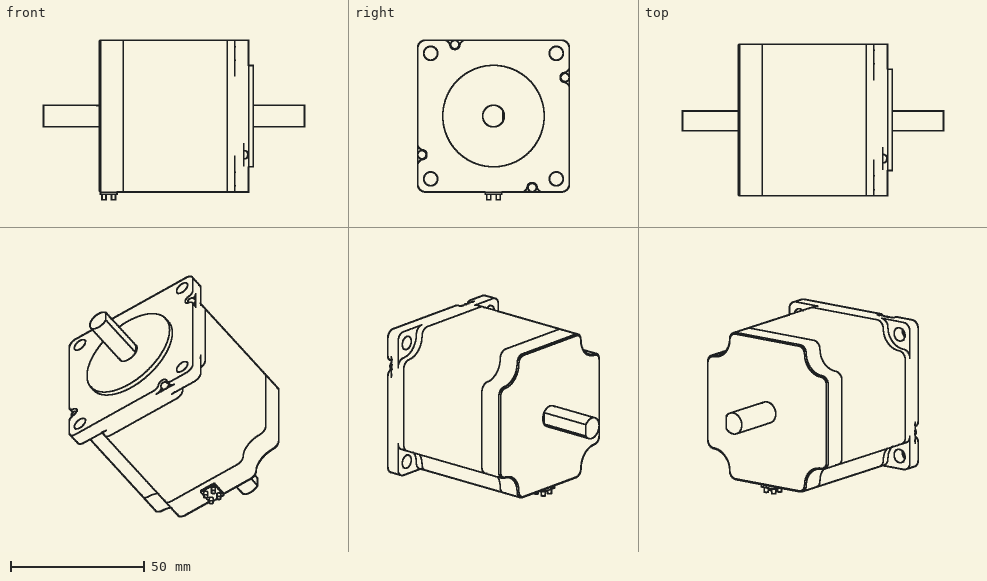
import cadquery as cq
import math

overall_length = 98.0
frame_size = 57.0
body_length = 56.1
half_frame = frame_size / 2
shaft_overhang = (overall_length - body_length) / 2

rear_cap_length = 8.9
front_cap_length = 8.0
stator_length = body_length - rear_cap_length - front_cap_length
rear_face = -body_length
stator_rear = rear_face + rear_cap_length
stator_front = -front_cap_length

flange_thickness = 5.2
corner_radius = 3.0
relief_radius = 7.35
corner_center = half_frame - corner_radius
relief_edge = corner_center - relief_radius
side_edge = relief_edge - corner_radius
rear_chamfer = 0.5

pilot_diameter = 38.1
pilot_height = 1.8
mount_spacing = 47.1
mount_hole_diameter = 5.1

pocket_depth = 1.9
pocket_radius = 1.9
pocket_mouth_radius = 2.3
pocket_offset = 14.5
pocket_inset = 1.7
head_diameter = 3.1
head_height = 1.5
head_rounding = 1.2

shaft_diameter = 8.1
shaft_flat_depth = 0.7

plug_size = 6.3
plug_thickness = 0.9
plug_rear_gap = 0.4
pin_diameter = 1.6
pin_spacing = 3.5
pin_length = 2.1

quarter_turns = [0, 90, 180, 270]
half_root = math.sqrt(0.5)
clearance = 1.0


def turned(shape, angle):
    """Copy of a shape turned about the motor axis."""
    return shape.rotate((0, 0, 0), (1, 0, 0), angle)


def cylinder(x, diameter, length):
    """Cylinder on the motor axis, running from x towards +X."""
    return cq.Workplane("YZ", origin=(x, 0, 0)).circle(diameter / 2).extrude(length)


def frame(x, length):
    """Square block with rounded corners, running from x towards +X."""
    block = cq.Workplane("YZ", origin=(x, 0, 0)).rect(frame_size, frame_size).extrude(length)
    return block.edges("|X").fillet(corner_radius)


def corner_relief(x, length):
    """Cutter for the hollow at the +Y +Z corner, blended into both sides by convex arcs."""
    outside = half_frame + clearance
    relief_middle = corner_center - relief_radius * half_root
    blend_near = half_frame - corner_radius * (1 - half_root)
    blend_far = relief_edge - corner_radius * (1 - half_root)
    return (
        cq.Workplane("YZ", origin=(x, 0, 0))
        .moveTo(outside, side_edge)
        .lineTo(half_frame, side_edge)
        .threePointArc((blend_near, blend_far), (corner_center, relief_edge))
        .threePointArc((relief_middle, relief_middle), (relief_edge, corner_center))
        .threePointArc((blend_far, blend_near), (side_edge, half_frame))
        .lineTo(side_edge, outside)
        .lineTo(outside, outside)
        .close()
        .extrude(length)
    )


def relieved_frame(x, length, relief_length):
    """Frame block whose four corners are hollowed over relief_length from its rear end."""
    block = frame(x, length)
    relief = corner_relief(x, relief_length)
    for angle in quarter_turns:
        block = block.cut(turned(relief, angle))
    return block


def connector():
    """Square plug with four round pins, pointing down from the rear cap."""
    plug_x = rear_face + plug_rear_gap + plug_size / 2
    base = cq.Workplane("XY", origin=(plug_x, 0, -half_frame))
    plug = base.rect(plug_size, plug_size).extrude(-plug_thickness)
    pins = (
        base.workplane(offset=-plug_thickness)
        .rect(pin_spacing, pin_spacing, forConstruction=True)
        .vertices()
        .circle(pin_diameter / 2)
        .extrude(-pin_length)
    )
    return plug.union(pins)


def screw_pocket():
    """Cutter for the pocket at the +Z side: a round end with a mouth that flares out to the side."""
    center_z = half_frame - pocket_inset
    mouth_z = half_frame - pocket_mouth_radius
    reach = pocket_radius + pocket_mouth_radius
    mouth_half_width = math.sqrt(reach**2 - (mouth_z - center_z) ** 2)
    tangent_y = mouth_half_width * pocket_radius / reach
    tangent_z = center_z + (mouth_z - center_z) * pocket_radius / reach
    flare_y = mouth_half_width - pocket_mouth_radius * half_root
    flare_z = mouth_z + pocket_mouth_radius * half_root
    return (
        cq.Workplane("YZ", origin=(0, -pocket_offset, 0))
        .moveTo(-mouth_half_width, half_frame + clearance)
        .lineTo(-mouth_half_width, half_frame)
        .threePointArc((-flare_y, flare_z), (-tangent_y, tangent_z))
        .threePointArc((0, center_z - pocket_radius), (tangent_y, tangent_z))
        .threePointArc((flare_y, flare_z), (mouth_half_width, half_frame))
        .lineTo(mouth_half_width, half_frame + clearance)
        .close()
        .extrude(-pocket_depth)
    )


def screw_head():
    """Round-edged head standing on the floor of the pocket at the +Z side."""
    return (
        cq.Workplane("YZ", origin=(-pocket_depth, -pocket_offset, half_frame - pocket_inset))
        .circle(head_diameter / 2)
        .extrude(head_height)
        .faces(">X")
        .edges()
        .fillet(head_rounding)
    )


def make_rear_cap():
    """Rear end cap with its connector and a through hole for the shaft."""
    cap = relieved_frame(rear_face, rear_cap_length, rear_cap_length)
    cap = cap.faces("<X").chamfer(rear_chamfer)
    cap = cap.cut(cylinder(rear_face, shaft_diameter, rear_cap_length))
    return cap.union(connector())


def make_shaft():
    """Round shaft over the whole length, with a flat at +Y on each end outside the housing."""
    shaft_start = rear_face - shaft_overhang
    shaft = cylinder(shaft_start, shaft_diameter, overall_length)
    flat_y = shaft_diameter / 2 - shaft_flat_depth
    front_length = shaft_overhang - pilot_height
    for x, length in [(shaft_start, shaft_overhang), (pilot_height, front_length)]:
        flat = cq.Workplane("XY").box(
            length, shaft_diameter, shaft_diameter, centered=(False, False, True)
        )
        shaft = shaft.cut(flat.translate((x, flat_y, 0)))
    return shaft


def make_stator():
    """Middle block of the motor together with the shaft that runs through both caps."""
    return relieved_frame(stator_rear, stator_length, stator_length).union(make_shaft())


def make_front_cap():
    """Front end cap: square flange, pilot, mounting holes and screw pockets."""
    cap = relieved_frame(stator_front, front_cap_length, front_cap_length - flange_thickness)
    cap = cap.union(cylinder(0, pilot_diameter, pilot_height))
    mount_holes = (
        cq.Workplane("YZ")
        .rect(mount_spacing, mount_spacing, forConstruction=True)
        .vertices()
        .circle(mount_hole_diameter / 2)
        .extrude(-flange_thickness)
    )
    cap = cap.cut(mount_holes)
    pocket = screw_pocket()
    head = screw_head()
    for angle in quarter_turns:
        cap = cap.cut(turned(pocket, angle)).union(turned(head, angle))
    return cap.cut(cylinder(stator_front, shaft_diameter, front_cap_length + pilot_height))


rear_cap = make_rear_cap()
stator = make_stator()
front_cap = make_front_cap()

bodies = [rear_cap, stator, front_cap]
result = cq.Compound.makeCompound([body.solids().val() for body in bodies])